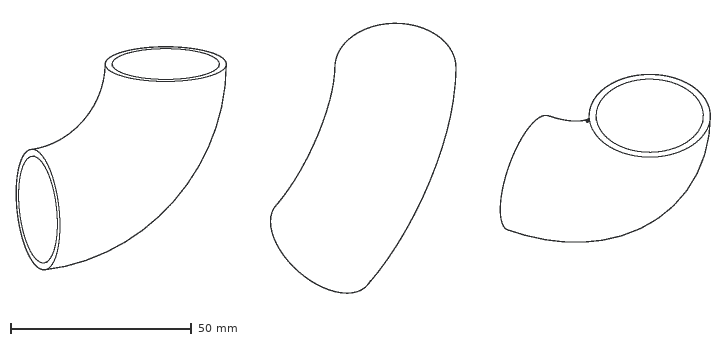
import cadquery as cq

outer_reach = 54.85
pipe_diameter = 33.7
wall_thickness = 2.0
bend_angle = 90.0

pipe_radius = pipe_diameter / 2
bore_radius = pipe_radius - wall_thickness
bend_radius = outer_reach - pipe_radius

result = (
    cq.Workplane("XY")
    .center(0, bend_radius)
    .circle(pipe_radius)
    .circle(bore_radius)
    .revolve(bend_angle, (0, -bend_radius), (-1, -bend_radius))
)